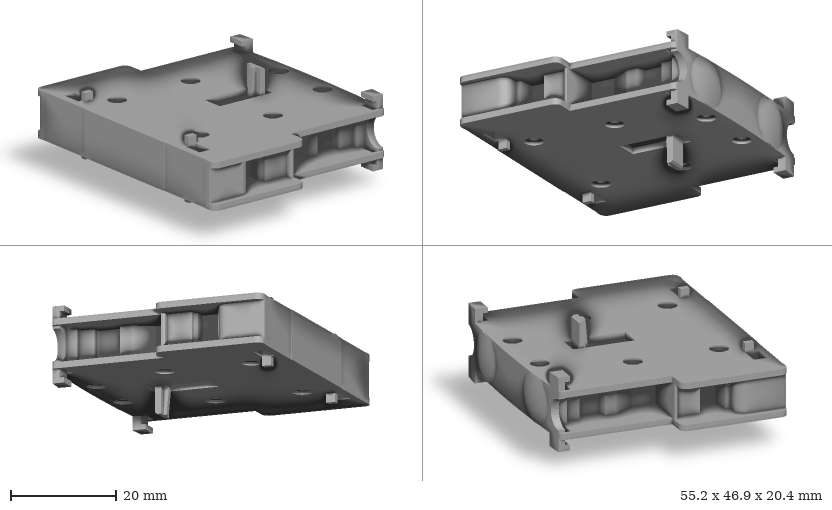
import cadquery as cq
import math


half_height = 4.9
plate_thickness = 1.25
inner_height = half_height - plate_thickness
base_half_width = 27.6
neck_half_width = 23.0
shoulder_y = 22.15
base_corner_radius = 1.5
back_side_y = 45.22
back_centre_y = 46.2
back_corner_radius = 1.0
bevel_start_y = 43.9
bevel_drop = 0.15

front_wall_half_width = 26.0
front_panel_inner = 12.36
front_panel_outer = 25.0
front_panel_depth = 0.12

screw_places = [(6.7, 42.7), (12.67, 26.0), (12.67, 8.2)]
screw_radius = 1.06
counterbore_radius = 1.9
counterbore_depth = 0.65

peg_outer_x = 16.5
peg_inner_x = 15.3
peg_front_y = 2.57
peg_back_y = 4.42
peg_top = 6.7
window_outer_x = 20.86
window_front_y = 1.8

hook_outer_x = 22.04
hook_inner_x = 18.34
hook_front_y = 43.9
hook_lip_y = 42.9
hook_opening_y = 42.75
hook_top = 7.55
hook_lip_bottom = 6.5
web_notch_radius = 3.15

dome_x = 11.5
dome_top_y = 46.87
dome_radius = 15.0
dome_half_height = 4.7

slot_half_width = 2.36
slot_front_y = 21.25
slot_back_y = 34.0
carriage_margin = 1.0
lever_top = 10.2
bar_half_width = 1.95
bar_back_y = 32.53
bar_front_y = 31.28
bar_chamfer_y = 0.46
bar_chamfer_z = 0.35
rib_half_width = 0.53
rib_root_y = 30.12
rib_tip_y = 30.7
rib_tip_chamfer = 0.15


def box(x_range, y_range, z_range):
    """Block between two limits along each axis."""
    size = [high - low for low, high in (x_range, y_range, z_range)]
    corner = (x_range[0], y_range[0], z_range[0])
    return cq.Workplane("XY").box(*size, centered=False).translate(corner)


def mirrored_pair(shape, plane):
    """The shape together with its mirror image."""
    return shape.union(shape.mirror(plane))


def back_outline(front_y, height):
    """Neck area from front_y to the bowed back edge, from Z = 0 up to height."""
    return (
        cq.Workplane("XY")
        .moveTo(-neck_half_width, front_y)
        .lineTo(neck_half_width, front_y)
        .lineTo(neck_half_width, back_side_y)
        .threePointArc((0, back_centre_y), (-neck_half_width, back_side_y))
        .close()
        .extrude(height)
    )


def cover_plate():
    """Outer plate of one half: wide base, narrower neck and a bevelled back strip."""
    base = box(
        (-base_half_width, base_half_width),
        (0, shoulder_y),
        (inner_height, half_height),
    ).edges("|Z").fillet(base_corner_radius)
    neck = (
        back_outline(shoulder_y - base_corner_radius, plate_thickness)
        .edges("|Z")
        .edges(">Y")
        .fillet(back_corner_radius)
        .translate((0, 0, inner_height))
    )
    bevel = (
        cq.Workplane("YZ")
        .polyline([
            (bevel_start_y, half_height),
            (back_centre_y, half_height - bevel_drop),
            (back_centre_y, half_height),
        ])
        .close()
        .extrude(neck_half_width, both=True)
    )
    return base.union(neck).cut(bevel)


def left_core():
    """Stepped inner wall of one half, left of the centre plane, outlined from front to back."""
    front_x = -front_wall_half_width
    front_end_y = 10.0
    front_radius = 2.0
    front_arc_offset = front_radius * (1 - math.sqrt(0.5))
    front_arc_middle = (front_x + front_arc_offset, front_end_y - front_arc_offset)

    front_step_x = -22.5
    front_step_y = 11.0
    bay_x = -19.0
    bay_front_y = 11.55
    bay_back_y = 15.7
    bay_lip_x = -21.2
    shoulder_wall_x = -22.7
    shoulder_wall_y = 16.3
    shoulder_bevel_x = -22.0

    post_tip_x = -24.0
    post_radius = 0.4
    post_front_y = 21.35
    post_back_y = 22.1
    post_arc_offset = post_radius * (1 - math.sqrt(0.5))
    post_arc_middle = (post_tip_x + post_arc_offset, post_front_y + post_arc_offset)

    neck_front_x = -14.6
    ramp_front_y = 27.1
    ramp_back_y = 31.1
    bulge_x = -16.9
    bulge_end_y = 33.5
    neck_recess_x = -15.2
    recess_front_y = 34.1
    recess_back_y = 38.3
    recess_bevel = 0.5
    rear_step_x = -16.9
    rear_step_y = 41.9
    rear_x = -18.2
    return (
        cq.Workplane("XY")
        .moveTo(0, 0)
        .lineTo(front_x, 0)
        .lineTo(front_x, front_end_y - front_radius)
        .threePointArc(front_arc_middle, (front_x + front_radius, front_end_y))
        .lineTo(front_step_x, front_end_y)
        .lineTo(front_step_x, front_step_y)
        .lineTo(bay_x, bay_front_y)
        .lineTo(bay_x, bay_back_y)
        .lineTo(bay_lip_x, bay_back_y)
        .lineTo(shoulder_bevel_x, shoulder_wall_y)
        .lineTo(shoulder_wall_x, shoulder_wall_y)
        .lineTo(shoulder_wall_x, post_front_y)
        .lineTo(post_tip_x + post_radius, post_front_y)
        .threePointArc(post_arc_middle, (post_tip_x, post_front_y + post_radius))
        .lineTo(post_tip_x, post_back_y)
        .lineTo(neck_front_x, post_back_y)
        .lineTo(neck_front_x, ramp_front_y)
        .lineTo(bulge_x, ramp_back_y)
        .lineTo(bulge_x, bulge_end_y)
        .lineTo(neck_recess_x, recess_front_y)
        .lineTo(neck_recess_x, recess_back_y)
        .lineTo(neck_recess_x - recess_bevel, recess_back_y + recess_bevel)
        .lineTo(rear_step_x, recess_back_y + recess_bevel)
        .lineTo(rear_step_x, rear_step_y)
        .lineTo(rear_x, rear_step_y)
        .lineTo(rear_x, hook_front_y)
        .lineTo(0, hook_front_y)
        .close()
        .extrude(inner_height)
    )


def left_hook():
    """Hook standing on the left end of the back wall, its lip pointing forward."""
    x_range = (-hook_outer_x, -hook_inner_x)
    stem = back_outline(hook_front_y, hook_top).intersect(
        box(x_range, (hook_front_y, back_centre_y), (0, hook_top))
    )
    lip = box(x_range, (hook_lip_y, hook_front_y), (hook_lip_bottom, hook_top))
    return stem.union(lip)


def left_openings():
    """Window beside the peg, opening below the hook lip and the shallow front panel recess."""
    window = box((-window_outer_x, -peg_outer_x), (window_front_y, peg_back_y), (0, half_height))
    lip_opening = box(
        (-hook_outer_x, -hook_inner_x), (hook_opening_y, hook_front_y), (inner_height, half_height)
    )
    panel = box((-front_panel_outer, -front_panel_inner), (0, front_panel_depth), (0, half_height))
    return window.union(lip_opening).union(panel)


def web_notch():
    """Round notch through the left end of the back wall."""
    wall_start = cq.Workplane("XZ", origin=(-hook_outer_x, hook_front_y, 0))
    return wall_start.circle(web_notch_radius).extrude(hook_front_y - back_centre_y)


def screw_holes():
    """Counterbored through holes, mirrored left and right."""
    places = [(side * x, y) for side in (-1, 1) for x, y in screw_places]
    holes = cq.Workplane("XY").pushPoints(places).circle(screw_radius).extrude(half_height)
    counterbores = (
        cq.Workplane("XY", origin=(0, 0, half_height))
        .pushPoints(places)
        .circle(counterbore_radius)
        .extrude(-counterbore_depth)
    )
    return holes.union(counterbores)


def upper_housing():
    """Upper half without the pocket for the lever carriage."""
    back_wall = back_outline(hook_front_y, inner_height).intersect(
        box((-hook_outer_x, hook_outer_x), (hook_front_y, back_centre_y), (0, inner_height))
    )
    peg = box((-peg_outer_x, -peg_inner_x), (peg_front_y, peg_back_y), (inner_height, peg_top))
    lever_slot = box(
        (-slot_half_width, slot_half_width), (slot_front_y, slot_back_y), (inner_height, half_height)
    )
    housing = cover_plate().union(back_wall)
    housing = housing.union(mirrored_pair(left_core().union(peg).union(left_hook()), "YZ"))
    housing = housing.cut(mirrored_pair(left_openings(), "YZ"))
    housing = housing.cut(mirrored_pair(web_notch(), "YZ"))
    return housing.cut(screw_holes()).cut(lever_slot)


def upper_lever():
    """Sliding carriage with a T-shaped handle standing out of the slot."""
    carriage = box(
        (-slot_half_width - carriage_margin, slot_half_width + carriage_margin),
        (slot_front_y - carriage_margin, slot_back_y + carriage_margin),
        (0, inner_height),
    )
    bar = (
        cq.Workplane("YZ")
        .polyline([
            (bar_front_y, inner_height),
            (bar_front_y, lever_top),
            (bar_back_y - bar_chamfer_y, lever_top),
            (bar_back_y, lever_top - bar_chamfer_z),
            (bar_back_y, inner_height),
        ])
        .close()
        .extrude(bar_half_width, both=True)
    )
    rib = (
        cq.Workplane("YZ")
        .polyline([
            (bar_front_y, inner_height),
            (bar_front_y, lever_top),
            (rib_tip_y + rib_tip_chamfer, lever_top),
            (rib_tip_y, lever_top - rib_tip_chamfer),
            (rib_root_y, inner_height),
        ])
        .close()
        .extrude(rib_half_width, both=True)
    )
    return carriage.union(bar).union(rib)


def left_dome():
    """Spherical cap resting on the bowed back face across both halves."""
    ball = cq.Workplane("XY").sphere(dome_radius).translate((-dome_x, dome_top_y - dome_radius, 0))
    cap = ball.intersect(
        box((-neck_half_width, 0), (hook_front_y, dome_top_y), (-dome_half_height, dome_half_height))
    )
    return cap.cut(mirrored_pair(back_outline(0, half_height), "XY"))


lever = upper_lever()
levers = [lever, lever.mirror("XY")]

housing = upper_housing().cut(lever)
halves = [housing, housing.mirror("XY")]

dome = left_dome()
domes = [dome, dome.mirror("YZ")]

result = cq.Compound.makeCompound([body.solids().val() for body in halves + levers + domes])